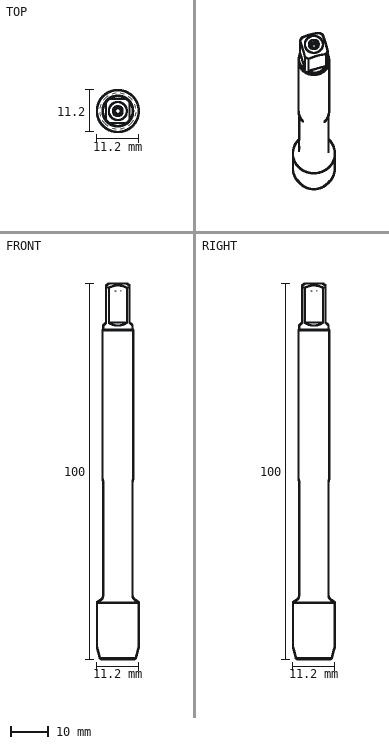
import cadquery as cq
import math

total_length = 100.0
head_radius = 11.2 / 2
shank_radius = 8.2 / 2
relief_radius = 7.9 / 2

head_top = 15.0
lead_height = 3.4
lead_tip_radius = 4.8
tip_chamfer_height = 0.4
tip_face_radius = 4.2

collar_rim_height = 0.2
collar_cone_height = 0.6
collar_cone_width = 0.8
collar_flare_height = 1.2
collar_flare_radius = head_radius - collar_cone_width

shank_bottom = 48.0
shank_top = 87.5
lower_cone_height = 0.6
upper_cone_height = 0.3

square_width = 6.3
square_bottom = 89.6
end_face_radius = 2.4
end_chamfer_height = 1.1

center_hole_radius = 1.6 / 2
countersink_radius = 1.3
countersink_depth = countersink_radius - center_hole_radius
center_hole_depth = 2.0
center_hole_point = 0.5


def make_head():
    """Threading head as a solid of revolution with a tapered lead."""
    return (
        cq.Workplane("XZ")
        .lineTo(tip_face_radius, 0)
        .lineTo(lead_tip_radius, tip_chamfer_height)
        .lineTo(head_radius, lead_height)
        .lineTo(head_radius, head_top)
        .lineTo(0, head_top)
        .close()
        .revolve(360, (0, 0, 0), (0, 1, 0))
    )


def turned_shank():
    """Round stock of the shank: collar, neck, shank and drive end."""
    rim_top = head_top + collar_rim_height
    flare_bottom = rim_top + collar_cone_height
    flare_top = flare_bottom + collar_flare_height
    flare_width = collar_flare_radius - relief_radius
    half_turn = math.atan2(flare_width, collar_flare_height)
    arc_radius = collar_flare_height / math.sin(2 * half_turn)
    flare_middle = (
        relief_radius + arc_radius * (1 - math.cos(half_turn)),
        flare_top - arc_radius * math.sin(half_turn),
    )
    return (
        cq.Workplane("XZ")
        .moveTo(0, head_top)
        .lineTo(head_radius, head_top)
        .lineTo(head_radius, rim_top)
        .lineTo(collar_flare_radius, flare_bottom)
        .threePointArc(flare_middle, (relief_radius, flare_top))
        .lineTo(relief_radius, shank_bottom - lower_cone_height)
        .lineTo(shank_radius, shank_bottom)
        .lineTo(shank_radius, shank_top)
        .lineTo(relief_radius, shank_top + upper_cone_height)
        .lineTo(relief_radius, total_length - end_chamfer_height)
        .lineTo(end_face_radius, total_length)
        .lineTo(0, total_length)
        .close()
        .revolve(360, (0, 0, 0), (0, 1, 0))
    )


def drive_flat_cutter():
    """Stock beyond one flat, with a 45 degree run-out at its lower end."""
    half_width = square_width / 2
    reach = shank_radius - half_width
    return (
        cq.Workplane("XZ")
        .moveTo(half_width, total_length)
        .lineTo(half_width, square_bottom)
        .lineTo(half_width + reach, square_bottom - reach)
        .lineTo(half_width + reach, total_length)
        .close()
        .extrude(shank_radius, both=True)
    )


def center_hole_cutter():
    """Countersunk center hole with a conical bottom."""
    hole_bottom = total_length - center_hole_depth
    return (
        cq.Workplane("XZ")
        .moveTo(0, total_length)
        .lineTo(countersink_radius, total_length)
        .lineTo(center_hole_radius, total_length - countersink_depth)
        .lineTo(center_hole_radius, hole_bottom)
        .lineTo(0, hole_bottom - center_hole_point)
        .close()
        .revolve(360, (0, 0, 0), (0, 1, 0))
    )


def make_shank():
    """Shank with its square drive and center hole."""
    body = turned_shank()
    for angle in (0, 90, 180, 270):
        body = body.cut(drive_flat_cutter().rotate((0, 0, 0), (0, 0, 1), angle))
    return body.cut(center_hole_cutter())


head = make_head()
shank = make_shank()
result = cq.Compound.makeCompound([head.val(), shank.val()])